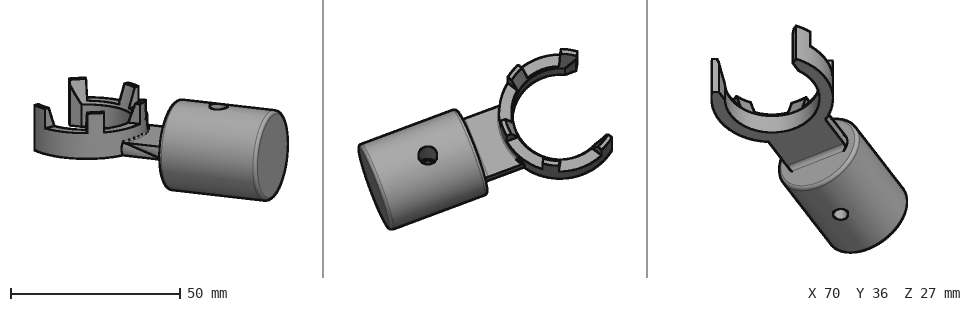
import cadquery as cq
import math


OVERALL_LENGTH = 70.0

RING_OUTER_RADIUS = 18.0
RING_INNER_RADIUS = 14.0
RING_HEIGHT = 8.0
OPENING_HALF_WIDTH = 12.45

TOOTH_WIDTH = 4.9
TOOTH_TOTAL_HEIGHT = 14.0
TOOTH_TOP_INNER_RADIUS = 16.5
TOOTH_ANGLES = (-120, -60, 0, 60, 120)
END_TOOTH_ANGLE = max(TOOTH_ANGLES)
CONE_DEPTH_IN_RING = 1.05

HANDLE_DIAMETER = 27.0
HANDLE_LENGTH = 31.1
HANDLE_EDGE_FILLET = 1.05
PIN_HOLE_OFFSET = 14.0
PIN_HOLE_UPPER_DIAMETER = 5.5
PIN_HOLE_LOWER_DIAMETER = 4.5

WEB_THICKNESS = 4.0
WEB_WIDTH = 20.0
WEB_SIDE_RADIUS = 5.4
HANDLE_FLARE_RADIUS = 1.5
RING_FLARE_RADIUS = 0.5

web_top = WEB_THICKNESS / 2
ring_bottom = -web_top
ring_top = ring_bottom + RING_HEIGHT
tooth_top = ring_bottom + TOOTH_TOTAL_HEIGHT
cone_start = ring_top - CONE_DEPTH_IN_RING
end_corner_angle = math.radians(END_TOOTH_ANGLE) + math.asin(TOOTH_WIDTH / 2 / RING_OUTER_RADIUS)
left_end = RING_OUTER_RADIUS * math.cos(end_corner_angle)
right_end = left_end + OVERALL_LENGTH
handle_start = right_end - HANDLE_LENGTH
ring_reach = 2 * RING_OUTER_RADIUS


def block(x_range, y_range, z_range):
    """Axis-aligned box given by its limits."""
    limits = (x_range, y_range, z_range)
    sizes = [high - low for low, high in limits]
    corner = tuple(low for low, high in limits)
    return cq.Workplane("XY").box(*sizes, centered=False).translate(corner)


def turned_about_z(body, angle):
    return body.rotate((0, 0, 0), (0, 0, 1), angle)


def toothed_ring():
    """Ring with five parallel-sided teeth, flared inside by one common cone."""
    full_ring = (
        cq.Workplane("XZ")
        .moveTo(RING_INNER_RADIUS, ring_bottom)
        .lineTo(RING_OUTER_RADIUS, ring_bottom)
        .lineTo(RING_OUTER_RADIUS, tooth_top)
        .lineTo(TOOTH_TOP_INNER_RADIUS, tooth_top)
        .lineTo(RING_INNER_RADIUS, cone_start)
        .close()
        .revolve(360, (0, 0, 0), (0, 1, 0))
    )
    all_round = (-ring_reach, ring_reach)
    half_width = TOOTH_WIDTH / 2
    kept = block(all_round, all_round, (ring_bottom, ring_top))
    for angle in TOOTH_ANGLES:
        tooth = block((0, ring_reach), (-half_width, half_width), (ring_bottom, tooth_top))
        kept = kept.union(turned_about_z(tooth, angle))
    ring = full_ring.intersect(kept)

    full_height = (ring_bottom, tooth_top)
    mouth = block((-ring_reach, 0), (-OPENING_HALF_WIDTH, OPENING_HALF_WIDTH), full_height)
    beyond_tooth = block((0, ring_reach), (half_width, ring_reach), full_height)
    beyond_tooth = turned_about_z(beyond_tooth, END_TOOTH_ANGLE)
    return ring.cut(mouth).cut(beyond_tooth).cut(beyond_tooth.mirror("XZ"))


def handle():
    """Round handle with rounded rims and a stepped cross hole."""
    radius = HANDLE_DIAMETER / 2
    cylinder = (
        cq.Workplane("YZ", origin=(handle_start, 0, 0))
        .circle(radius)
        .extrude(HANDLE_LENGTH)
        .edges()
        .fillet(HANDLE_EDGE_FILLET)
    )
    hole_axis = cq.Workplane("XY", origin=(handle_start + PIN_HOLE_OFFSET, 0, 0))
    upper_hole = hole_axis.circle(PIN_HOLE_UPPER_DIAMETER / 2).extrude(radius)
    lower_hole = hole_axis.circle(PIN_HOLE_LOWER_DIAMETER / 2).extrude(-radius)
    return cylinder.cut(upper_hole).cut(lower_hole)


def web():
    """Flat web with bulging sides, flared into the handle and the ring."""
    flare_top = web_top + HANDLE_FLARE_RADIUS
    flare_start = handle_start - HANDLE_FLARE_RADIUS
    flare_mid = HANDLE_FLARE_RADIUS * math.sqrt(0.5)
    side_profile = (
        cq.Workplane("XZ")
        .moveTo(0, -web_top)
        .lineTo(flare_start, -web_top)
        .threePointArc((flare_start + flare_mid, flare_mid - flare_top), (handle_start, -flare_top))
        .lineTo(handle_start, flare_top)
        .threePointArc((flare_start + flare_mid, flare_top - flare_mid), (flare_start, web_top))
        .lineTo(0, web_top)
        .close()
        .extrude(WEB_WIDTH / 2, both=True)
    )

    ring_flare_outer = RING_OUTER_RADIUS + RING_FLARE_RADIUS
    ring_flare_top = web_top + RING_FLARE_RADIUS
    ring_flare_mid = RING_FLARE_RADIUS * (1 - math.sqrt(0.5))
    ring_flare = (
        cq.Workplane("XZ")
        .moveTo(RING_INNER_RADIUS, 0)
        .lineTo(ring_flare_outer, 0)
        .lineTo(ring_flare_outer, web_top)
        .threePointArc(
            (RING_OUTER_RADIUS + ring_flare_mid, web_top + ring_flare_mid),
            (RING_OUTER_RADIUS, ring_flare_top),
        )
        .lineTo(RING_INNER_RADIUS, ring_flare_top)
        .close()
        .revolve(360, (0, 0, 0), (0, 1, 0))
    )

    half_width = WEB_WIDTH / 2
    side_inset = WEB_SIDE_RADIUS - math.sqrt(WEB_SIDE_RADIUS**2 - flare_top**2)
    corner_y = half_width - side_inset
    cross_section = (
        cq.Workplane("YZ")
        .moveTo(-corner_y, -flare_top)
        .lineTo(corner_y, -flare_top)
        .threePointArc((half_width, 0), (corner_y, flare_top))
        .lineTo(-corner_y, flare_top)
        .threePointArc((-half_width, 0), (-corner_y, -flare_top))
        .close()
        .extrude(handle_start)
    )
    bore = cq.Workplane("XY").circle(RING_INNER_RADIUS).extrude(flare_top, both=True)
    return side_profile.union(ring_flare).intersect(cross_section).cut(bore)


result = toothed_ring().union(web()).union(handle())